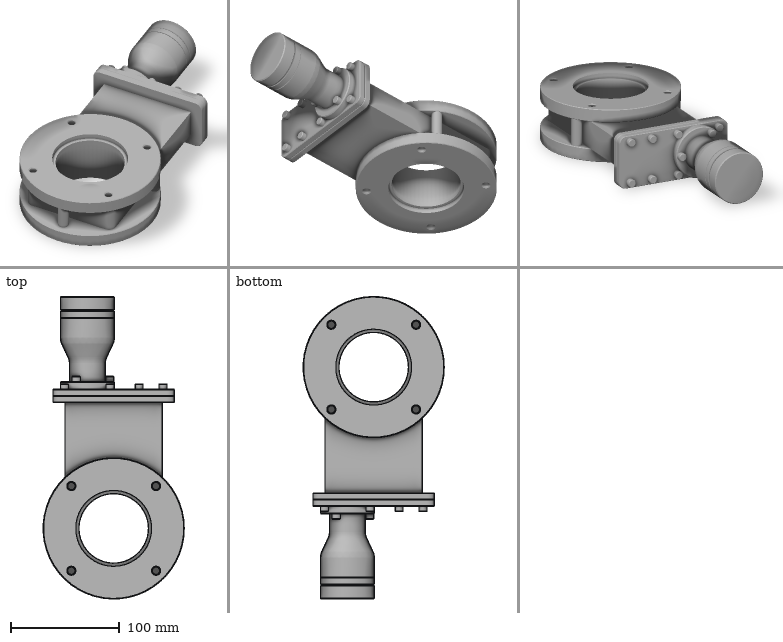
import cadquery as cq
import math


flange_dia = 130.2
overall_length = 278.7
overall_height = 51.5
flange_thickness = 12.5
flange_edge = 0.5
bore_dia = 63.8
recess_dia = 70.0
recess_depth = 5.0

tapped_hole_offset = 39.0
tapped_hole_dia = 6.7
tapped_hole_mouth_dia = 8.5
tapped_hole_depth = flange_thickness

post_dia = 10.0
post_centers = [(-50.7, 30.7), (50.7, 30.7), (0, -54.0)]

body_width = 89.8
body_height = overall_height - 2 * flange_thickness
body_front_y = -43.2
body_corner_radius = 6.7

bonnet_width = 112.0
bonnet_height = 51.3
bonnet_plate_thickness = 6.0
bonnet_start_y = 116.0
bonnet_end_y = bonnet_start_y + 2 * bonnet_plate_thickness
bonnet_corner_radius = 6.7
bonnet_edge = 0.5

actuator_x = -24.3
actuator_dia = 50.0
actuator_radius = actuator_dia / 2
neck_dia = 33.2
neck_radius = neck_dia / 2
actuator_end_y = overall_length - flange_dia / 2
mount_thickness = 7.0
mount_end_y = bonnet_end_y + mount_thickness
cone_start_y = 155.0
cone_end_y = 172.8
cone_blend_radius = 13.7
actuator_edge = 0.8
groove_depth = 1.5
groove_radius = actuator_radius - groove_depth
barrel_groove_start_y = 193.5
barrel_groove_width = 0.8
cap_groove_start_y = 199.9
cap_groove_width = 1.0
cap_start_y = cap_groove_start_y + cap_groove_width

screw_head_dia = 7.5
screw_head_height = 5.0
screw_head_edge = 0.5
bonnet_screw_x = [-45.5, -3.3, 23.5, 45.5]
bonnet_screw_z = 19.8
mount_screw_count = 3
mount_screw_circle_radius = 20.5


def make_flange():
    """Upper flange disc, with softened rims."""
    return (
        cq.Workplane("XY", origin=(0, 0, body_height / 2))
        .circle(flange_dia / 2)
        .extrude(flange_thickness)
        .edges()
        .chamfer(flange_edge)
    )


def make_flange_cuts():
    """Bore recess and tapped holes of the upper flange."""
    top = cq.Workplane("XY", origin=(0, 0, overall_height / 2))
    cuts = top.circle(recess_dia / 2).extrude(-recess_depth)
    countersink_depth = (tapped_hole_mouth_dia - tapped_hole_dia) / 2
    centers = top.rect(2 * tapped_hole_offset, 2 * tapped_hole_offset, forConstruction=True).vertices()
    holes = centers.circle(tapped_hole_dia / 2).extrude(-tapped_hole_depth)
    mouths = centers.circle(tapped_hole_mouth_dia / 2).extrude(-countersink_depth, taper=45)
    return cuts.union(holes).union(mouths)


def make_body():
    """Flat valve body with rounded front corners."""
    return (
        cq.Workplane("XY")
        .box(body_width, bonnet_start_y - body_front_y, body_height, centered=(True, False, True))
        .translate((0, body_front_y, 0))
        .edges("|Z and <Y")
        .fillet(body_corner_radius)
    )


def make_posts():
    return (
        cq.Workplane("XY", origin=(0, 0, -body_height / 2))
        .pushPoints(post_centers)
        .circle(post_dia / 2)
        .extrude(body_height)
    )


def make_bonnet_plate(start_y):
    return (
        cq.Workplane("XY")
        .box(bonnet_width, bonnet_plate_thickness, bonnet_height, centered=(True, False, True))
        .translate((0, start_y, 0))
        .edges("|Y")
        .fillet(bonnet_corner_radius)
        .faces("<Y or >Y")
        .edges()
        .chamfer(bonnet_edge)
    )


def make_actuator():
    """Mounting disc, neck, blended cone, barrel and end cap as one turned shape."""
    cone_half_angle = math.atan2(actuator_radius - neck_radius, cone_end_y - cone_start_y)
    blend_length = cone_blend_radius * math.tan(cone_half_angle / 2)
    along = blend_length * math.cos(cone_half_angle)
    across = blend_length * math.sin(cone_half_angle)
    sagitta = cone_blend_radius * (1 - math.cos(cone_half_angle / 2))
    half_arc = cone_blend_radius * math.sin(cone_half_angle / 2)

    neck_blend_start = cone_start_y - blend_length
    barrel_blend_end = cone_end_y + blend_length
    actuator = (
        cq.Workplane("XY")
        .moveTo(0, bonnet_end_y)
        .lineTo(actuator_radius, bonnet_end_y)
        .lineTo(actuator_radius, mount_end_y - actuator_edge)
        .lineTo(actuator_radius - actuator_edge, mount_end_y)
        .lineTo(neck_radius, mount_end_y)
        .lineTo(neck_radius, neck_blend_start)
        .threePointArc(
            (neck_radius + sagitta, neck_blend_start + half_arc),
            (neck_radius + across, cone_start_y + along),
        )
        .lineTo(actuator_radius - across, cone_end_y - along)
        .threePointArc(
            (actuator_radius - sagitta, barrel_blend_end - half_arc),
            (actuator_radius, barrel_blend_end),
        )
        .lineTo(actuator_radius, barrel_groove_start_y)
        .lineTo(groove_radius, barrel_groove_start_y)
        .lineTo(groove_radius, barrel_groove_start_y + barrel_groove_width)
        .lineTo(actuator_radius, barrel_groove_start_y + barrel_groove_width)
        .lineTo(actuator_radius, cap_groove_start_y)
        .lineTo(groove_radius, cap_groove_start_y)
        .lineTo(groove_radius, cap_start_y)
        .lineTo(actuator_radius - actuator_edge, cap_start_y)
        .lineTo(actuator_radius, cap_start_y + actuator_edge)
        .lineTo(actuator_radius, actuator_end_y - actuator_edge)
        .lineTo(actuator_radius - actuator_edge, actuator_end_y)
        .lineTo(0, actuator_end_y)
        .close()
        .revolve(360, (0, 0, 0), (0, 1, 0))
    )
    return actuator.translate((actuator_x, 0, 0))


def make_screw_head(x, seat_y, z):
    seat = cq.Plane(origin=(x, seat_y, z), xDir=(1, 0, 0), normal=(0, 1, 0))
    head = cq.Workplane(seat).circle(screw_head_dia / 2).extrude(screw_head_height)
    return head.faces(">Y").edges().chamfer(screw_head_edge)


upper_flange = make_flange()
result = make_body().union(upper_flange).union(upper_flange.mirror("XY")).union(make_posts())

for plate_start_y in (bonnet_start_y, bonnet_start_y + bonnet_plate_thickness):
    result = result.union(make_bonnet_plate(plate_start_y))

result = result.union(make_actuator())

for screw_x in bonnet_screw_x:
    for screw_z in (-bonnet_screw_z, bonnet_screw_z):
        result = result.union(make_screw_head(screw_x, bonnet_end_y, screw_z))

for index in range(mount_screw_count):
    angle = 2 * math.pi * index / mount_screw_count
    screw_x = actuator_x + mount_screw_circle_radius * math.cos(angle)
    screw_z = mount_screw_circle_radius * math.sin(angle)
    result = result.union(make_screw_head(screw_x, mount_end_y, screw_z))

bore = cq.Workplane("XY").circle(bore_dia / 2).extrude(overall_height, both=True)
upper_cuts = make_flange_cuts()
result = result.cut(bore).cut(upper_cuts).cut(upper_cuts.mirror("XY"))